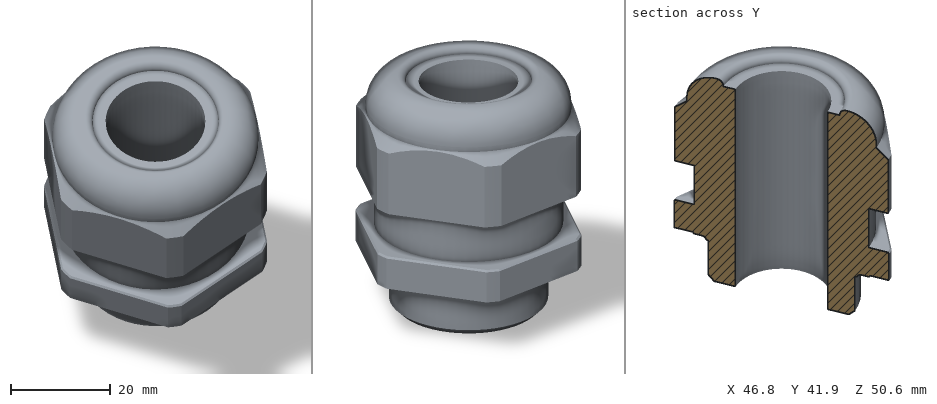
import cadquery as cq
import math

total_height = 50.6
bore_diameter = 20.0

thread_diameter = 32.0
thread_chamfer = 1.35

seal_bottom = 9.8
seal_top = 10.6
seal_bottom_diameter = 32.9
seal_top_diameter = 34.1
seal_hollow_radius = 1.0
seat_bottom_diameter = 38.0
seat_top_diameter = 38.65

across_flats = 41.85
flange_corner_diameter = 46.8
flange_bottom = 10.95
flange_top = 17.95
flange_chamfer = 0.35
neck_diameter = 38.0

nut_corner_diameter = 46.45
nut_bottom = 27.55
nut_corner_top = 41.0
nut_cone_angle = 40.0

dome_diameter = 41.3
mouth_diameter = 28.25
mouth_radius = 1.5
rim_width = 0.1
dome_radius = (dome_diameter - mouth_diameter) / 2 - rim_width


def disc(diameter, bottom, top):
    """Upright cylinder between two heights."""
    return cq.Workplane("XY").workplane(offset=bottom).circle(diameter / 2).extrude(top - bottom)


def hexagon(bottom, top):
    """Hexagonal prism with corners on the X axis."""
    corner_to_corner = across_flats / math.cos(math.radians(30))
    return cq.Workplane("XY").workplane(offset=bottom).polygon(6, corner_to_corner).extrude(top - bottom)


def revolved(outline):
    """Turn an XZ outline about the Z axis."""
    return outline.close().revolve(360, (0, 0, 0), (0, 1, 0))


def threaded_end():
    """Plain cylinder with a chamfered lower edge."""
    return disc(thread_diameter, 0, flange_bottom).faces("<Z").chamfer(thread_chamfer)


def seal_collar():
    """Tapered seat and concave collar that narrow downwards from the flange."""
    outline = (
        cq.Workplane("XZ")
        .moveTo(0, seal_bottom)
        .lineTo(seal_bottom_diameter / 2, seal_bottom)
        .radiusArc((seal_top_diameter / 2, seal_top), seal_hollow_radius)
        .lineTo(seat_bottom_diameter / 2, seal_top)
        .lineTo(seat_top_diameter / 2, flange_bottom)
        .lineTo(0, flange_bottom)
    )
    return revolved(outline)


def flange():
    """Hexagon with turned corners and a small chamfer around its top edge."""
    prism = hexagon(flange_bottom, flange_top)
    rounded = prism.intersect(disc(flange_corner_diameter, flange_bottom, flange_top))
    return rounded.faces(">Z").chamfer(flange_chamfer)


def nut():
    """Hexagon with turned corners and a conical upper side."""
    corner_radius = nut_corner_diameter / 2
    dome_edge = dome_diameter / 2
    cone_top = nut_corner_top + (corner_radius - dome_edge) * math.tan(math.radians(nut_cone_angle))
    envelope = (
        cq.Workplane("XZ")
        .moveTo(0, nut_bottom)
        .lineTo(corner_radius, nut_bottom)
        .lineTo(corner_radius, nut_corner_top)
        .lineTo(dome_edge, cone_top)
        .lineTo(0, cone_top)
    )
    return hexagon(nut_bottom, cone_top).intersect(revolved(envelope))


def dome():
    """Crown whose outer side and mouth are both rounded into a thin flat rim."""
    mouth_floor = total_height - mouth_radius
    dome_base = total_height - dome_radius
    mouth_edge = mouth_diameter / 2
    rim_edge = mouth_edge + rim_width
    diagonal = math.sqrt(0.5)
    outline = (
        cq.Workplane("XZ")
        .moveTo(0, nut_corner_top)
        .lineTo(dome_diameter / 2, nut_corner_top)
        .lineTo(dome_diameter / 2, dome_base)
        .threePointArc(
            (rim_edge + dome_radius * diagonal, dome_base + dome_radius * diagonal),
            (rim_edge, total_height),
        )
        .lineTo(mouth_edge, total_height)
        .threePointArc(
            (mouth_edge - mouth_radius * diagonal, mouth_floor + mouth_radius * diagonal),
            (mouth_edge - mouth_radius, mouth_floor),
        )
        .lineTo(0, mouth_floor)
    )
    return revolved(outline)


body = disc(neck_diameter, flange_bottom, nut_corner_top)
for section in (threaded_end(), seal_collar(), flange(), nut(), dome()):
    body = body.union(section)

result = body.cut(disc(bore_diameter, 0, total_height))